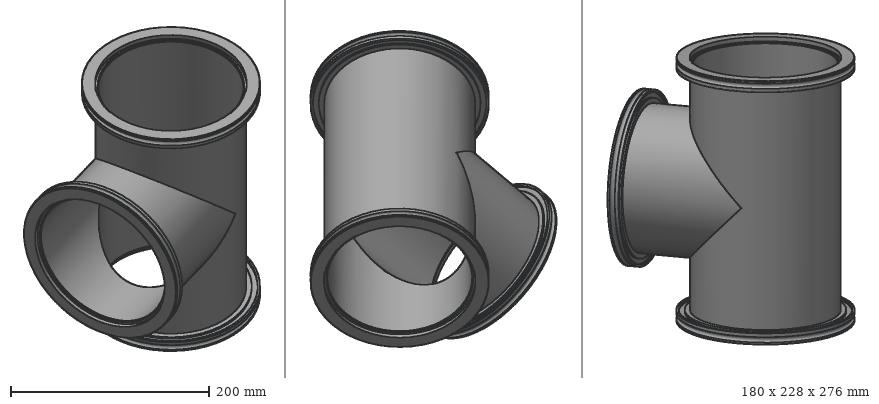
import cadquery as cq

run_length = 276.0
flange_diameter = 180.0
overall_depth = 228.0
branch_reach = overall_depth - flange_diameter / 2

tube_outer_diameter = 152.4
tube_bore_diameter = 146.0
wedge_margin = 2.8

flange_thickness = 12.0
recess_diameter = 153.0
recess_depth = 4.7
face_chamfer = 0.5
lip_bore_diameter = 148.2
lip_thickness = 1.5
rim_groove_radius = 2.8
rim_groove_depth = 5.2
back_groove_inner_diameter = 163.0
back_groove_outer_diameter = 175.0
back_groove_depth = 2.2

tube_setback = recess_depth + lip_thickness

top_face = cq.Plane(origin=(0, 0, run_length / 2), xDir=(1, 0, 0), normal=(0, 0, -1))
bottom_face = cq.Plane(origin=(0, 0, -run_length / 2), xDir=(1, 0, 0), normal=(0, 0, 1))
branch_face = cq.Plane(origin=(0, -branch_reach, 0), xDir=(1, 0, 0), normal=(0, 1, 0))


def cylinder(plane, diameter, start, end):
    """Cylinder on the plane's normal, between two distances from the plane."""
    return cq.Workplane(plane).workplane(offset=start).circle(diameter / 2).extrude(end - start)


def make_flange(face):
    """Flange ring with a stepped bore, a round rim groove and a flat-bottomed back groove."""
    body = cylinder(face, flange_diameter, 0, flange_thickness)
    body = body.faces(cq.selectors.NearestToPointSelector(face.origin.toTuple())).chamfer(face_chamfer)
    body = body.cut(cylinder(face, recess_diameter, 0, recess_depth))
    body = body.cut(cylinder(face, lip_bore_diameter, 0, tube_setback))
    body = body.cut(cylinder(face, tube_outer_diameter, tube_setback, flange_thickness))

    back_groove_floor = flange_thickness - back_groove_depth
    back_groove = cylinder(face, back_groove_outer_diameter, back_groove_floor, flange_thickness)
    back_groove = back_groove.cut(
        cylinder(face, back_groove_inner_diameter, back_groove_floor, flange_thickness)
    )
    rim_groove = cq.Solid.makeTorus(
        flange_diameter / 2,
        rim_groove_radius,
        face.origin + face.zDir * rim_groove_depth,
        face.zDir,
    )
    return body.cut(back_groove).cut(rim_groove)


def make_mitre_wedge():
    """Wedge on the -Y side of the run axis, between the two 45 degree mitre planes."""
    return (
        cq.Workplane("YZ")
        .polyline([(0, 0), (-branch_reach, branch_reach), (-branch_reach, -branch_reach)])
        .close()
        .extrude(tube_outer_diameter / 2 + wedge_margin, both=True)
    )


def make_run_tube():
    """Straight tube notched by the mitre wedge to receive the branch."""
    run_end = run_length - tube_setback
    outside = cylinder(top_face, tube_outer_diameter, tube_setback, run_end)
    bore = cylinder(top_face, tube_bore_diameter, tube_setback, run_end)
    return outside.cut(bore).cut(make_mitre_wedge())


def make_branch_tube():
    """Side tube of the same diameter, its inner end pointed to fill the notch in the run."""
    outside = cylinder(branch_face, tube_outer_diameter, tube_setback, branch_reach)
    bore = cylinder(branch_face, tube_bore_diameter, tube_setback, branch_reach)
    return outside.cut(bore).intersect(make_mitre_wedge())


run_tube = make_run_tube()
branch_tube = make_branch_tube()
flanges = [make_flange(face) for face in (top_face, bottom_face, branch_face)]

result = cq.Compound.makeCompound(
    [run_tube.val(), branch_tube.val(), *[flange.val() for flange in flanges]]
)